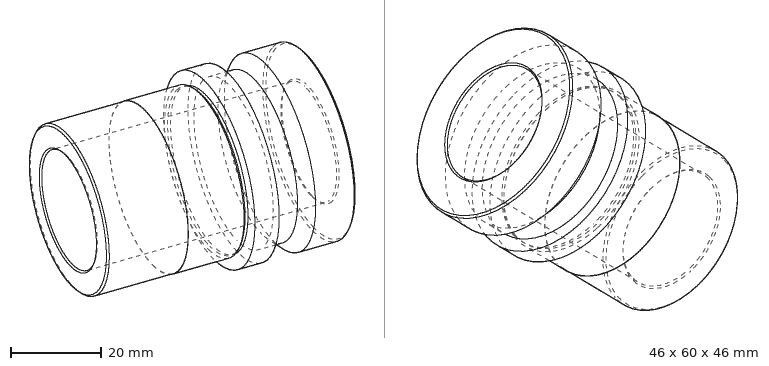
import cadquery as cq

length = 60.0
head_radius = 46.0 / 2
body_radius = 40.0 / 2
nose_radius = 19.9
relief_radius = 19.5
bore_radius = 14.0

head_length = 10.0
taper_length = head_radius - body_radius
neck_length = 6.0
collar_length = 6.0
relief_length = 0.7
relief_taper = body_radius - relief_radius
nose_length = 20.0

edge_chamfer = 0.5
bore_chamfer = 0.4

head_end = length / 2
nose_end = -length / 2
head_start = head_end - head_length
taper_start = head_start - taper_length
collar_end = taper_start - neck_length
collar_start = collar_end - collar_length
relief_start = collar_start - relief_length
nose_start = nose_end + nose_length

wall_section = [
    (bore_radius + bore_chamfer, nose_end),
    (nose_radius - edge_chamfer, nose_end),
    (nose_radius, nose_end + edge_chamfer),
    (nose_radius, nose_start),
    (body_radius, nose_start),
    (body_radius, relief_start - relief_taper),
    (relief_radius, relief_start),
    (relief_radius, collar_start),
    (head_radius, collar_start),
    (head_radius, collar_end),
    (body_radius, collar_end),
    (body_radius, taper_start),
    (head_radius, head_start),
    (head_radius, head_end - edge_chamfer),
    (head_radius - edge_chamfer, head_end),
    (bore_radius + bore_chamfer, head_end),
    (bore_radius, head_end - bore_chamfer),
    (bore_radius, nose_end + bore_chamfer),
]

result = cq.Workplane("XY").polyline(wall_section).close().revolve(360, (0, 0, 0), (0, 1, 0))